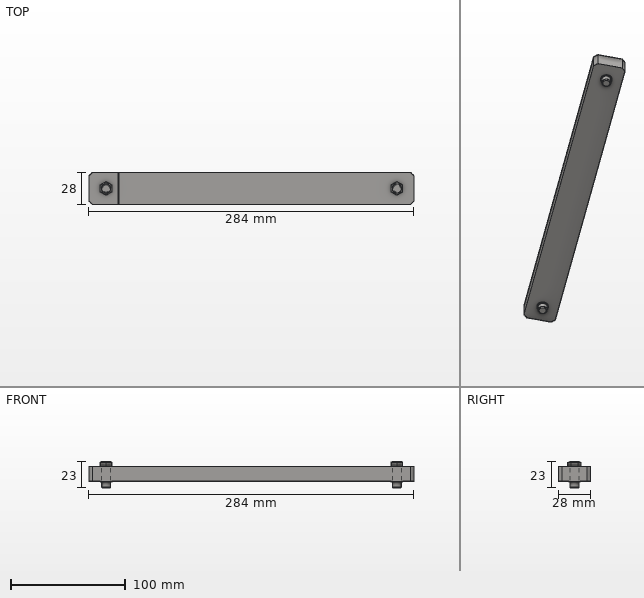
import cadquery as cq
import math

BAR_LENGTH = 284.0
BAR_WIDTH = 28.0
BAR_HEIGHT = 13.0
CORNER_CHAMFER = 3.0

GROOVE_WIDTH = 0.5
GROOVE_DEPTH = 0.15
GROOVE_FROM_END = 25.8

BOLT_FROM_END = 15.0
SHANK_DIAMETER = 8.0
SHANK_PROTRUSION = 6.0
TIP_CHAMFER = 0.9
HEAD_ACROSS_FLATS = 10.2
HEAD_HEIGHT = 4.0
HEAD_TOP_DIAMETER = 8.0
HEAD_CHAMFER_DROP = 0.9
COLLAR_DIAMETER = 10.0
COLLAR_HEIGHT = 0.5

BOLT_X = BAR_LENGTH / 2 - BOLT_FROM_END
GROOVE_X = -BAR_LENGTH / 2 + GROOVE_FROM_END
HEAD_ACROSS_CORNERS = HEAD_ACROSS_FLATS / math.cos(math.pi / 6)
HEAD_TOP_Z = BAR_HEIGHT + HEAD_HEIGHT


def cylinder(diameter, bottom_z, top_z):
    """Upright cylinder on the Z axis between two heights."""
    return cq.Workplane("XY").workplane(offset=bottom_z).circle(diameter / 2).extrude(top_z - bottom_z)


def make_bar():
    """Bar with chamfered upright corners, a groove and a through hole for each bolt."""
    bar = cq.Workplane("XY").rect(BAR_LENGTH, BAR_WIDTH).extrude(BAR_HEIGHT)
    bar = bar.edges("|Z").chamfer(CORNER_CHAMFER)
    groove = (
        cq.Workplane("XY")
        .workplane(offset=BAR_HEIGHT - GROOVE_DEPTH)
        .center(GROOVE_X, 0)
        .rect(GROOVE_WIDTH, BAR_WIDTH)
        .extrude(GROOVE_DEPTH)
    )
    bar = bar.cut(groove)
    for x in (-BOLT_X, BOLT_X):
        bar = bar.cut(cylinder(SHANK_DIAMETER, 0, BAR_HEIGHT).translate((x, 0, 0)))
    return bar


def make_head():
    """Hexagon with corners on the Y axis, its top turned down to a cone."""
    hexagon = (
        cq.Workplane("XY")
        .workplane(offset=BAR_HEIGHT)
        .polygon(6, HEAD_ACROSS_CORNERS)
        .extrude(HEAD_HEIGHT)
        .rotate((0, 0, 0), (0, 0, 1), 90)
    )
    corner_radius = HEAD_ACROSS_CORNERS / 2
    chamfer_envelope = (
        cq.Workplane("XZ")
        .moveTo(0, BAR_HEIGHT)
        .lineTo(corner_radius, BAR_HEIGHT)
        .lineTo(corner_radius, HEAD_TOP_Z - HEAD_CHAMFER_DROP)
        .lineTo(HEAD_TOP_DIAMETER / 2, HEAD_TOP_Z)
        .lineTo(0, HEAD_TOP_Z)
        .close()
        .revolve(360, (0, 0, 0), (0, 1, 0))
    )
    return hexagon.intersect(chamfer_envelope)


def make_bolt(x):
    """Bolt through the bar: hex head on top, collar and chamfered tip below."""
    shank = cylinder(SHANK_DIAMETER, -SHANK_PROTRUSION, BAR_HEIGHT).faces("<Z").chamfer(TIP_CHAMFER)
    collar = cylinder(COLLAR_DIAMETER, -COLLAR_HEIGHT, 0)
    return shank.union(collar).union(make_head()).translate((x, 0, 0))


bar = make_bar()
bolts = [make_bolt(x) for x in (-BOLT_X, BOLT_X)]

result = cq.Compound.makeCompound([bar.val(), *[bolt.val() for bolt in bolts]])